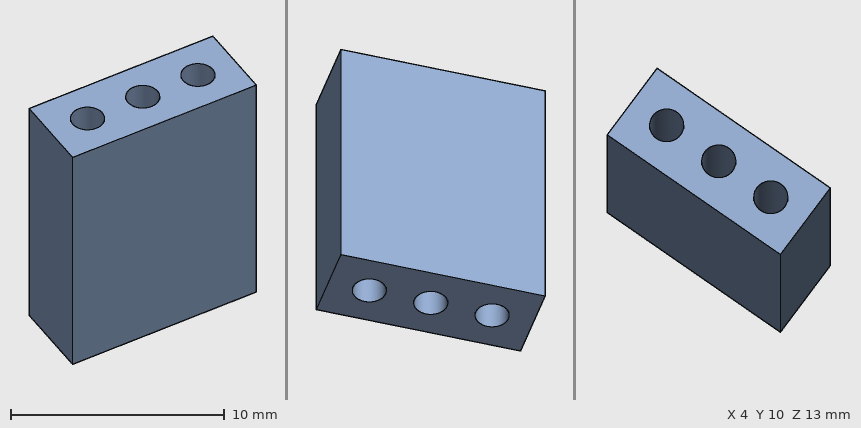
import cadquery as cq

width = 4.0
length = 10.0
height = 13.0

hole_diameter = 1.6
hole_pitch = 3.0
hole_count = 3

block = cq.Workplane("XY").box(width, length, height)

result = (
    block.faces(">Z")
    .workplane()
    .rarray(hole_pitch, hole_pitch, 1, hole_count)
    .hole(hole_diameter)
)